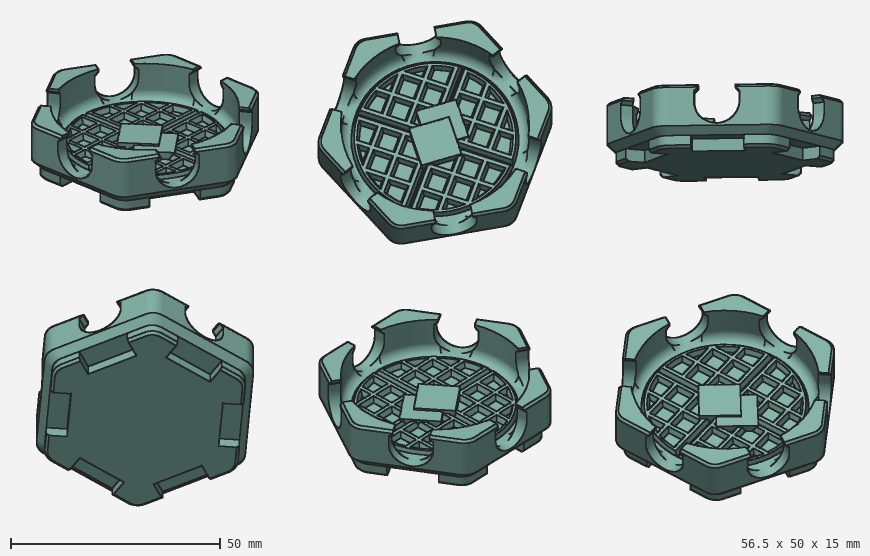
import cadquery as cq
import math

SIDES = 6
SIDE_ANGLE = 360 / SIDES
TILE_WIDTH = 50.0
TILE_HEIGHT = 15.0
CORNER_RADIUS = 4.0
TOP_CHAMFER = 0.6
SKIRT_INSET = 1.85
FOOT_HEIGHT = 3.0
SKIRT_TOP = 5.05
FOOT_CHAMFER = 0.7
FOOT_GAP = 12.75
FOOT_GAP_DEPTH = 5.0

FLOOR = 5.6
BOWL_RADIUS = 22.5
WAFFLE_RADIUS = 20.0
BOWL_FILLET = BOWL_RADIUS - WAFFLE_RADIUS

OPENING_RADIUS = 5.5
OPENING_CENTRE = FLOOR + OPENING_RADIUS
THROAT_WIDTH = 9.0
LIP_BOTTOM = 13.35
LIP_TOP = 14.3
RUN_OUT_HALF_WIDTH = 2.9

WAFFLE_TOP = 6.45
WAFFLE_HEIGHT = 2.5
WAFFLE_BOTTOM = WAFFLE_TOP - WAFFLE_HEIGHT
WAFFLE_TOP_RADIUS = 19.3
WALL_DRAFT = 0.42
POCKET_SIZE = 5.05
RIB = 1.0
POCKET_DEPTH = 1.4
POCKET_FIELD_RADIUS = 18.65
POCKETS_PER_ROW = 3
GROOVE_HALF_WIDTH = 0.75

PAT_SIZE = 10.0
PAT_ANGLE = 36.9
PAT_STEP = 0.5
PAT_CENTRE_X = -1.2
PAT_CENTRE_Y = -0.5
PAT_OFFSET = 5.05


def rounded_hexagon(inset, bottom, top):
    """Hexagonal prism with rounded corners, its flats moved in by `inset`."""
    corner_distance = (TILE_WIDTH / 2 - inset) / math.cos(math.radians(SIDE_ANGLE / 2))
    return (
        cq.Workplane("XY")
        .workplane(offset=bottom)
        .polygon(SIDES, 2 * corner_distance)
        .extrude(top - bottom)
        .edges("|Z")
        .fillet(CORNER_RADIUS)
    )


def around_sides(shape):
    """Copies of a shape made for the +Y flat, one for each side of the hexagon."""
    return [shape.rotate((0, 0, 0), (0, 0, 1), i * SIDE_ANGLE) for i in range(SIDES)]


def make_skirt():
    """Sloping part between the feet and the flats."""
    lower = rounded_hexagon(SKIRT_INSET, FOOT_HEIGHT, SKIRT_TOP).faces("<Z").wires().val()
    upper = rounded_hexagon(0, SKIRT_TOP, TILE_HEIGHT).faces("<Z").wires().val()
    return cq.Workplane(cq.Solid.makeLoft([lower, upper], True))


def make_feet():
    """Ring of six corner feet around a core, parted by a gap in the middle of each side."""
    feet = rounded_hexagon(SKIRT_INSET, 0, FOOT_HEIGHT).faces("<Z").chamfer(FOOT_CHAMFER)
    gap_back = TILE_WIDTH / 2 - SKIRT_INSET - FOOT_GAP_DEPTH
    gap = cq.Workplane("XY").box(FOOT_GAP, TILE_WIDTH, FOOT_HEIGHT, centered=(True, False, False))
    for cutter in around_sides(gap.translate((0, gap_back, 0))):
        feet = feet.cut(cutter)
    return feet


def make_bowl_cutter():
    """Bowl with a round fillet between its wall and its floor."""
    return (
        cq.Workplane("XY")
        .workplane(offset=FLOOR)
        .circle(BOWL_RADIUS)
        .extrude(TILE_HEIGHT)
        .faces("<Z")
        .edges()
        .fillet(BOWL_FILLET)
    )


def make_opening_cutter():
    """Round-bottomed opening with straight sides and a narrower throat, through the +Y wall."""
    throat = THROAT_WIDTH / 2
    return (
        cq.Workplane("XZ")
        .moveTo(-OPENING_RADIUS, OPENING_CENTRE)
        .threePointArc((0, FLOOR), (OPENING_RADIUS, OPENING_CENTRE))
        .lineTo(OPENING_RADIUS, LIP_BOTTOM)
        .lineTo(throat, LIP_TOP)
        .lineTo(throat, TILE_HEIGHT)
        .lineTo(-throat, TILE_HEIGHT)
        .lineTo(-throat, LIP_TOP)
        .lineTo(-OPENING_RADIUS, LIP_BOTTOM)
        .close()
        .extrude(-TILE_WIDTH)
    )


def make_run_out_cutters():
    """Flat triangle and two round-bottomed flanks that lead the +Y opening down to the floor."""
    base_y = math.sqrt(WAFFLE_RADIUS**2 - RUN_OUT_HALF_WIDTH**2)
    apex = (0, BOWL_RADIUS)
    base_right = (RUN_OUT_HALF_WIDTH, base_y)
    base_left = (-RUN_OUT_HALF_WIDTH, base_y)
    triangle = cq.Workplane("XY").workplane(offset=FLOOR).polyline([apex, base_right, base_left]).close()
    cutters = [triangle.extrude(BOWL_FILLET)]
    flank_length = 2 * math.hypot(RUN_OUT_HALF_WIDTH, BOWL_RADIUS - base_y)
    for side in (1, -1):
        direction = cq.Vector(side * RUN_OUT_HALF_WIDTH, base_y - BOWL_RADIUS, 0)
        start = cq.Vector(0, BOWL_RADIUS, FLOOR + BOWL_FILLET)
        flank = cq.Solid.makeCylinder(BOWL_FILLET, flank_length, start, direction)
        cutters.append(cq.Workplane(flank))
    return cutters


def make_tile():
    tile = rounded_hexagon(0, SKIRT_TOP, TILE_HEIGHT).faces(">Z").chamfer(TOP_CHAMFER)
    tile = tile.union(make_skirt()).union(make_feet())
    tile = tile.cut(make_bowl_cutter())
    for cutter in [make_opening_cutter(), *make_run_out_cutters()]:
        for copy in around_sides(cutter):
            tile = tile.cut(copy)
    seat = cq.Workplane("XY").workplane(offset=WAFFLE_BOTTOM).circle(WAFFLE_RADIUS).extrude(TILE_HEIGHT)
    return tile.cut(seat)


def drafted_cutter(sketch):
    """Extrude a sketch on the waffle top downwards with walls that lean inwards."""
    return sketch.extrude(-POCKET_DEPTH, taper=math.degrees(math.atan(WALL_DRAFT)))


def make_groove_cutter():
    """Groove along the X axis with leaning sides and a narrow flat bottom, open at both ends."""
    bottom_half_width = GROOVE_HALF_WIDTH - WALL_DRAFT * POCKET_DEPTH
    bottom = WAFFLE_TOP - POCKET_DEPTH
    profile = [
        (-GROOVE_HALF_WIDTH, WAFFLE_TOP),
        (GROOVE_HALF_WIDTH, WAFFLE_TOP),
        (bottom_half_width, bottom),
        (-bottom_half_width, bottom),
    ]
    groove = cq.Workplane("YZ").workplane(offset=-WAFFLE_RADIUS).polyline(profile).close()
    return groove.extrude(2 * WAFFLE_RADIUS)


def make_pocket_cutters():
    """Square pockets of all four quarters, trimmed to the round field."""
    top = cq.Workplane("XY").workplane(offset=WAFFLE_TOP)
    field = drafted_cutter(top.circle(POCKET_FIELD_RADIUS))
    first_edge = GROOVE_HALF_WIDTH + RIB
    pitch = POCKET_SIZE + RIB
    cutters = []
    for column in range(POCKETS_PER_ROW):
        for row in range(POCKETS_PER_ROW):
            near_x = first_edge + column * pitch
            near_y = first_edge + row * pitch
            if math.hypot(near_x, near_y) > POCKET_FIELD_RADIUS:
                continue
            for side_x in (1, -1):
                for side_y in (1, -1):
                    centre_x = side_x * (near_x + POCKET_SIZE / 2)
                    centre_y = side_y * (near_y + POCKET_SIZE / 2)
                    square = top.center(centre_x, centre_y).rect(POCKET_SIZE, POCKET_SIZE)
                    cutters.append(drafted_cutter(square).intersect(field))
    return cutters


def make_pat(centre_x, top):
    """Square butter pat that sinks down to the pocket floors."""
    bottom = WAFFLE_TOP - POCKET_DEPTH
    return (
        cq.Workplane("XY")
        .rect(PAT_SIZE, PAT_SIZE)
        .extrude(top - bottom)
        .rotate((0, 0, 0), (0, 0, 1), PAT_ANGLE)
        .translate((centre_x, PAT_CENTRE_Y, bottom))
    )


def make_waffle():
    rim_draft = math.degrees(math.atan2(WAFFLE_RADIUS - WAFFLE_TOP_RADIUS, WAFFLE_HEIGHT))
    disc = cq.Workplane("XY").workplane(offset=WAFFLE_BOTTOM).circle(WAFFLE_RADIUS)
    waffle = disc.extrude(WAFFLE_HEIGHT, taper=rim_draft)
    groove = make_groove_cutter()
    waffle = waffle.cut(groove).cut(groove.rotate((0, 0, 0), (0, 0, 1), 90))
    for pocket in make_pocket_cutters():
        waffle = waffle.cut(pocket)
    lower_top = WAFFLE_TOP + PAT_STEP
    lower_pat = make_pat(PAT_CENTRE_X + PAT_OFFSET, lower_top)
    upper_pat = make_pat(PAT_CENTRE_X, lower_top + PAT_STEP)
    return waffle.union(lower_pat).union(upper_pat)


tile = make_tile()
waffle = make_waffle()

result = cq.Compound.makeCompound([tile.val(), waffle.val()])